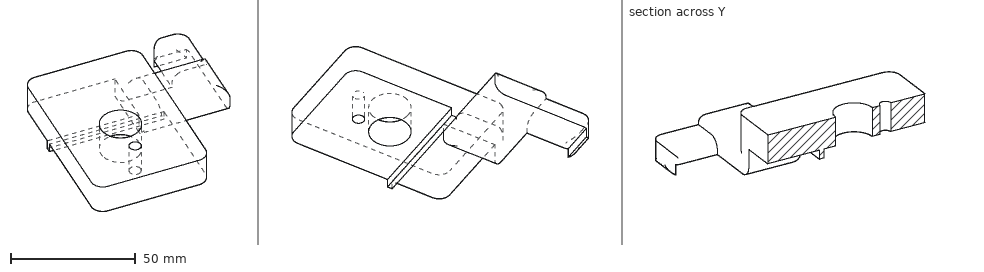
import cadquery as cq

plate_length = 73.0
plate_width = 50.0
plate_thickness = 13.0
edge_radius = 5.0

large_hole_diameter = 17.0
small_hole_diameter = 4.9
large_hole_x = 62.1
hole_spacing = 14.6

arm_width = 24.0
arm_overlap = 10.0
arm_thickness = 13.0

total_length = 95.1
total_width = 80.0
total_height = 30.6
finger_width = 15.0
finger_thickness = 7.0
lip_thickness = 3.0
finger_block_height = 12.0

rib_width = 2.2
rib_depth = 4.0

plate_left = total_length - plate_length
plate_bottom = total_height - plate_thickness
arm_front = plate_width - arm_overlap
arm_right = plate_left + arm_width
arm_bottom = plate_bottom - arm_thickness
finger_front = total_width - finger_width
finger_top = arm_bottom + finger_thickness
finger_bottom = finger_top - finger_block_height


def block(x_range, y_range, z_range):
    """Box spanning the given (low, high) limits along each axis."""
    ranges = (x_range, y_range, z_range)
    size = [high - low for low, high in ranges]
    corner = tuple(low for low, _ in ranges)
    return cq.Workplane("XY").box(*size, centered=False).translate(corner)


def edge_at(body, direction, point):
    """Straight edge parallel to direction and nearest to point."""
    return body.edges("|" + direction).edges(cq.selectors.NearestToPointSelector(point))


def plate_and_arm():
    plate = block((plate_left, total_length), (0, plate_width), (plate_bottom, total_height))
    arm = block((plate_left, arm_right), (arm_front, total_width), (arm_bottom, plate_bottom))
    body = plate.union(arm)

    arm_middle_x = (plate_left + arm_right) / 2
    overhang_middle_y = (plate_width + total_width) / 2
    arm_middle_y = (arm_front + total_width) / 2
    plate_middle_z = (plate_bottom + total_height) / 2
    rounded_edges = [
        ("Z", (plate_left, 0, plate_middle_z)),
        ("Z", (total_length, 0, plate_middle_z)),
        ("Z", (total_length, plate_width, plate_middle_z)),
        ("Z", (plate_left, plate_width, plate_middle_z)),
        ("Y", (plate_left, overhang_middle_y, plate_bottom)),
        ("Y", (arm_right, overhang_middle_y, plate_bottom)),
        ("X", (arm_middle_x, total_width, plate_bottom)),
        ("X", (arm_middle_x, arm_front, arm_bottom)),
        ("Y", (arm_right, arm_middle_y, arm_bottom)),
    ]
    edges = [edge_at(body, direction, point).val() for direction, point in rounded_edges]
    return body.newObject(edges).fillet(edge_radius)


def finger():
    body = block((0, plate_left), (finger_front, total_width), (finger_bottom, finger_top))
    end_edges = body.edges("<X and |Z").vals() + body.edges("<X and <Z").vals()
    front_top_edge = body.edges("<Y and >Z").vals()
    body = body.newObject(end_edges + front_top_edge).fillet(edge_radius)
    clearance = block(
        (lip_thickness, plate_left), (finger_front, total_width), (finger_bottom, arm_bottom)
    )
    return body.cut(clearance)


def rib():
    return block(
        (arm_right, arm_right + rib_width), (0, plate_width), (plate_bottom - rib_depth, plate_bottom)
    )


def through_hole(center_x, diameter):
    start = (center_x, plate_width / 2, plate_bottom)
    return cq.Workplane("XY", origin=start).circle(diameter / 2).extrude(plate_thickness)


result = (
    plate_and_arm()
    .union(finger())
    .union(rib())
    .cut(through_hole(large_hole_x, large_hole_diameter))
    .cut(through_hole(large_hole_x + hole_spacing, small_hole_diameter))
)